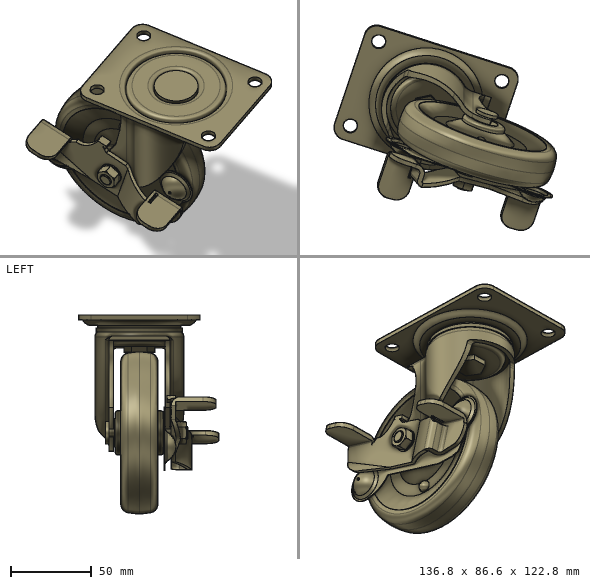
import cadquery as cq
import math


plate_length = 99.2
plate_width = 75.0
plate_thickness = 3.0
plate_corner_radius = 7.7
bolt_hole_diameter = 8.6
bolt_hole_spacing_x = 80.0
bolt_hole_spacing_y = 56.0
dish_top_radius = 35.3
dish_bottom_radius = 31.2
dish_bottom_z = -6.4
dish_bulge = 0.5
neck_radius = 25.7
ring_radius = 26.7
ring_top_z = -8.0
kingpin_radius = 13.5
kingpin_stem_radius = 6.8
kingpin_nut_radius = 9.6
kingpin_nut_bottom_z = -23.1
press_groove_radius = 31.0
press_round = 3.8

axle_x = -33.1
axle_z = -72.8
wheel_radius = 50.0
tread_edge_radius = 49.4
tread_edge_y = 7.0
tyre_shoulder_radius = 44.3
tyre_shoulder_round = 5.7
rim_radius = 41.6
rim_step = 0.4
wheel_half_width = 11.5
web_outer_radius = 30.1
web_inner_radius = 22.2
web_y = 6.2
hub_radius = 13.7
hub_base_y = 11.6
hub_end_y = 14.9
hub_round = 1.8
spacer_radius = 8.8
spacer_end_y = 15.2
stud_radius = 3.7
stud_circle_radius = 26.1

sheet = 3.0
fork_top_z = -10.4
fork_radius = 27.5
dome_radius = 26
dome_edge_z = -13.7
dome_round = 4.1
flange_top_z = -13.0
flange_round = 2.7
leg_outer_y = 18.9
fork_front_x = -36.2
bend_start_x = -24.3
bend_end_x = -17.8
skirt_bottom_z = -20.5
boss_radius = 11.6
boss_tangent_angle = -42
race_radius = 21.9
race_round = 3.4
race_bottom_z = -19.5

axle_radius = 4.0
bolt_head_radius = 7.0
bolt_head_height = 2.0
bolt_tip_y = -30.0
bolt_tip_chamfer = 0.5
nut_corner_radius = 7.0
nut_end_y = -29.1
nut_collar_radius = 7.1
nut_collar_height = 0.8
nut_chamfer = 0.7

shoe_sheet = 0.5
shoe_inner_y = -spacer_end_y
shoe_pad_radius = 12.2
shoe_seat_radius = 11
shoe_seat_top_radius = 8.9
shoe_seat_height = 1.5
shoe_dome_radius = 9.6
shoe_dome_height = 6.8
shoe_dome_hole_radius = 0.8
left_pad = (-75.03, -81.3)
right_pad = (8.8, -69.1)

pedal_tilt = 15
pedal_sheet = 2.7
pedal_reach = 68.4
pedal_out = 22.5
pedal_bend_u = 8.9
bulge_u = 18.9
bulge_out = 28.5
pedal_crest_u = 30.1
pedal_crest_out = 32.4
pedal_crest_round = 3.8
pedal_wall_u = 33.9
pedal_wall_top_out = 29.3
pedal_tail_u = 36.2
lip_start = (-51.2, -5.3)
lip_end = (-11.2, -15.9)
lip_flare = 26
lip_depth = 11
tab_thickness = 3.0
tab_tip_radius = 8.2
left_tab_u = (-53.3, -32.1)
left_tab_top_w = 8.8
left_tab_tip_out = 47.5
right_tab_u = (29.7, 50.0)
right_tab_top_w = 9.5
right_tab_tip_out = 49.1
slit_u = 32.5
slit_width = 1.6
slit_start_out = 24.1
slit_end_out = 33.4
catch_length = 6.8
catch_thickness = 2.5
catch_center = (-12.3, 18.3)
catch_inner_out = 17.1
tab_inner_bend = 0.5
tab_outer_bend = 5.5


def drum(radius, bottom, top):
    """Round disc on the swivel axis between two heights."""
    return cq.Workplane("XY").workplane(offset=bottom).circle(radius).extrude(top - bottom)


def axle_drum(radius, y_from, y_to):
    """Round disc on the wheel axle between two Y values."""
    return (
        cq.Workplane("XZ", origin=(axle_x, y_from, axle_z)).circle(radius).extrude(y_from - y_to)
    )


def side_prism(outline):
    """Cut tool: an XZ outline carried through the full width of the caster."""
    return outline.extrude(plate_width, both=True)


def build_plate():
    plate = (
        cq.Workplane("XY")
        .box(plate_length, plate_width, plate_thickness, centered=(True, True, False))
        .translate((0, 0, -plate_thickness))
        .edges("|Z")
        .fillet(plate_corner_radius)
        .faces(">Z")
        .workplane()
        .rect(bolt_hole_spacing_x, bolt_hole_spacing_y, forConstruction=True)
        .vertices()
        .hole(bolt_hole_diameter)
    )
    dish_mid_radius = (dish_top_radius + dish_bottom_radius) / 2
    dish_mid_z = -(plate_thickness - dish_bottom_z) / 2 - dish_bulge
    dish = (
        cq.Workplane("XZ")
        .moveTo(0, -plate_thickness)
        .lineTo(dish_top_radius, -plate_thickness)
        .threePointArc((dish_mid_radius, dish_mid_z), (dish_bottom_radius, dish_bottom_z))
        .lineTo(0, dish_bottom_z)
        .close()
        .revolve(360, (0, 0), (0, 1))
    )
    depth = press_round
    groove = (
        cq.Workplane("XZ")
        .moveTo(press_groove_radius - press_round, 0)
        .radiusArc((press_groove_radius, -depth), depth)
        .radiusArc((press_groove_radius + press_round, 0), depth)
        .close()
        .revolve(360, (0, 0), (0, 1))
    )
    kingpin_gap = (
        cq.Workplane("XZ")
        .moveTo(kingpin_radius, 0)
        .lineTo(kingpin_radius, -depth)
        .radiusArc((kingpin_radius + press_round, 0), depth)
        .close()
        .revolve(360, (0, 0), (0, 1))
    )
    nut = (
        cq.Workplane("XY")
        .workplane(offset=kingpin_nut_bottom_z)
        .transformed(rotate=(0, 0, 90))
        .polygon(6, 2 * kingpin_nut_radius)
        .extrude(race_bottom_z - kingpin_nut_bottom_z)
    )
    return (
        plate.union(dish)
        .union(drum(neck_radius, ring_top_z, dish_bottom_z))
        .union(drum(ring_radius, fork_top_z, ring_top_z))
        .union(drum(kingpin_stem_radius, race_bottom_z, fork_top_z))
        .union(nut)
        .cut(groove)
        .cut(kingpin_gap)
    )


def fork_plan(inset):
    """Plan outline of the fork wall, moved inward by inset and open toward -X."""
    radius = fork_radius - inset
    leg_y = leg_outer_y - inset
    bend_y = math.sqrt(fork_radius**2 - bend_end_x**2)
    bend = (bend_end_x * radius / fork_radius, bend_y * radius / fork_radius)
    front = fork_front_x - inset
    return (
        cq.Workplane("XY")
        .moveTo(front, leg_y)
        .lineTo(bend_start_x, leg_y)
        .tangentArcPoint(bend, relative=False)
        .threePointArc((radius, 0), (bend[0], -bend[1]))
        .tangentArcPoint((bend_start_x, -leg_y), relative=False)
        .lineTo(front, -leg_y)
        .close()
    )


def fork_side_outline():
    """Side outline of the fork: flange tip, curved leg edges and round axle boss."""
    boss_angle = math.radians(boss_tangent_angle)
    boss_right = (
        axle_x + boss_radius * math.cos(boss_angle),
        axle_z + boss_radius * math.sin(boss_angle),
    )
    return (
        cq.Workplane("XZ")
        .moveTo(fork_radius + 1.4, 0)
        .lineTo(fork_radius + 1.4, skirt_bottom_z)
        .lineTo(19.8, skirt_bottom_z)
        .threePointArc((18.6, -21.2), (17.9, -22.8))
        .spline([(14.2, -36.4), (9.0, -47.0), (4.0, -55.0), (-10.1, -70.9)], includeCurrent=True)
        .lineTo(*boss_right)
        .threePointArc((axle_x, axle_z - boss_radius), (axle_x - boss_radius, axle_z))
        .lineTo(-36.5, -57.5)
        .spline([(-32.4, -50.3), (-30.1, -41), (-28.5, -26.1), (-29.3, -21.5), (-32.0, -15.9)],
                includeCurrent=True)
        .lineTo(fork_front_x, -15.3)
        .lineTo(fork_front_x, 0)
        .close()
    )


def build_fork():
    bottom_z = axle_z - boss_radius
    outer = fork_plan(0).extrude(bottom_z - flange_top_z).translate((0, 0, flange_top_z))
    outer = outer.faces(">Z").edges("not(<X)").fillet(flange_round)
    inner_top_z = flange_top_z - sheet
    inner = fork_plan(sheet).extrude(bottom_z - inner_top_z).translate((0, 0, inner_top_z))
    body = outer.cut(inner).intersect(side_prism(fork_side_outline()))
    dome = (
        cq.Workplane("XZ")
        .moveTo(0, fork_top_z)
        .lineTo(dome_radius, fork_top_z)
        .radiusArc((fork_radius, dome_edge_z), dome_round)
        .lineTo(fork_radius, inner_top_z)
        .lineTo(0, inner_top_z)
        .close()
        .revolve(360, (0, 0), (0, 1))
    )
    race = drum(race_radius, race_bottom_z, inner_top_z).faces("<Z").edges().fillet(race_round)
    leg_span = 2 * leg_outer_y
    axle_hole = axle_drum(axle_radius, leg_span, -leg_span)
    return (
        body.union(dome)
        .union(race)
        .cut(drum(kingpin_stem_radius, race_bottom_z, fork_top_z))
        .cut(axle_hole)
    )


def build_wheel():
    crown = wheel_radius - tread_edge_radius
    crown_arc_radius = (tread_edge_y**2 + crown**2) / (2 * crown)
    half = (
        cq.Workplane("XY", origin=(axle_x, 0, axle_z))
        .moveTo(axle_radius, 0)
        .lineTo(axle_radius, spacer_end_y)
        .lineTo(spacer_radius, spacer_end_y)
        .lineTo(spacer_radius, hub_end_y)
        .lineTo(hub_radius - hub_round, hub_end_y)
        .radiusArc((hub_radius, hub_end_y - hub_round), hub_round)
        .lineTo(hub_radius, hub_base_y)
        .lineTo(web_inner_radius, web_y)
        .lineTo(web_outer_radius, web_y)
        .lineTo(rim_radius, wheel_half_width - rim_step)
        .lineTo(rim_radius, wheel_half_width)
        .lineTo(tyre_shoulder_radius, wheel_half_width)
        .radiusArc((tread_edge_radius, tread_edge_y), tyre_shoulder_round)
        .radiusArc((wheel_radius, 0), crown_arc_radius)
        .close()
        .revolve(360, (0, 0), (0, 1))
    )
    for stud_z in (axle_z - stud_circle_radius, axle_z + stud_circle_radius):
        stud = cq.Workplane("XY").sphere(stud_radius).translate((axle_x, web_y, stud_z))
        half = half.union(stud)
    return half.union(half.mirror("XZ"))


def build_axle_bolt():
    shank = axle_drum(axle_radius, leg_outer_y, bolt_tip_y).faces("<Y").chamfer(bolt_tip_chamfer)
    head = axle_drum(bolt_head_radius, leg_outer_y + bolt_head_height, leg_outer_y)
    return shank.union(head)


def build_axle_nut():
    collar = axle_drum(nut_collar_radius, -pedal_out, -pedal_out - nut_collar_height)
    height = -pedal_out - nut_end_y
    hexagon = (
        cq.Workplane("XZ", origin=(axle_x, -pedal_out, axle_z))
        .transformed(rotate=(0, 0, 90))
        .polygon(6, 2 * nut_corner_radius)
        .extrude(height)
    )
    bar = axle_drum(nut_corner_radius, -pedal_out, nut_end_y).faces("<Y").chamfer(nut_chamfer)
    bore = axle_drum(axle_radius, 0, 2 * nut_end_y)
    return hexagon.intersect(bar).union(collar).cut(bore)


def shoe_pad(center):
    """Round pad of the shoe with a hollow, drilled dome and a tapered seat around it."""
    outer_radius = (shoe_dome_radius**2 + shoe_dome_height**2) / (2 * shoe_dome_height)
    sphere_drop = outer_radius - shoe_dome_height
    plane = cq.Workplane("XZ", origin=(center[0], shoe_inner_y, center[1]))
    disc = plane.circle(shoe_pad_radius).extrude(shoe_sheet)
    front = plane.workplane(offset=shoe_sheet)
    seat = (
        front.circle(shoe_seat_radius)
        .workplane(offset=shoe_seat_height)
        .circle(shoe_seat_top_radius)
        .loft()
    )
    center_y = shoe_inner_y - shoe_sheet + sphere_drop
    ball = cq.Workplane("XY").sphere(outer_radius).translate((center[0], center_y, center[1]))
    hollow = (
        cq.Workplane("XY")
        .sphere(outer_radius - shoe_sheet)
        .translate((center[0], center_y, center[1]))
    )
    dome = ball.intersect(front.circle(shoe_pad_radius).extrude(2 * shoe_dome_height))
    apex_hole = plane.circle(shoe_dome_hole_radius).extrude(2 * shoe_dome_height)
    return disc.union(seat).union(dome).cut(hollow).cut(apex_hole)


def build_shoe():
    shoe = (
        cq.Workplane("XZ", origin=(0, shoe_inner_y, 0))
        .moveTo(left_pad[0] - 2.7, left_pad[1] - shoe_pad_radius + 0.4)
        .threePointArc((-63.7, -90.5), (-55.8, -84.0))
        .lineTo(-11.9, -96.2)
        .lineTo(-0.3, -96.2)
        .lineTo(5.0, -94.8)
        .lineTo(right_pad[0] + 6.8, right_pad[1] - 8.2)
        .lineTo(right_pad[0], right_pad[1] + 5.5)
        .lineTo(axle_x, axle_z + boss_radius)
        .lineTo(left_pad[0] + 1.4, left_pad[1] + 11)
        .close()
        .extrude(shoe_sheet)
    )
    for center in (left_pad, right_pad):
        opening = (
            cq.Workplane("XZ", origin=(center[0], shoe_inner_y, center[1]))
            .circle(shoe_seat_radius)
            .extrude(shoe_sheet)
        )
        shoe = shoe.cut(opening).union(shoe_pad(center))
    return shoe.cut(axle_drum(axle_radius, 0, 2 * shoe_inner_y))


def pedal_sheet_band():
    """Bent pedal sheet before trimming: flat, bulge around the fork, flat tail."""
    inner_out = pedal_out - pedal_sheet
    inner_wall_u = pedal_wall_u - pedal_sheet
    tail_bend = pedal_tail_u - pedal_wall_u
    inner_tail_bend = tail_bend + pedal_sheet
    return (
        cq.Workplane("XZ")
        .moveTo(-pedal_reach, pedal_out)
        .lineTo(pedal_bend_u, pedal_out)
        .threePointArc((bulge_u, bulge_out), (pedal_crest_u, pedal_crest_out))
        .radiusArc((pedal_wall_u, pedal_wall_top_out), pedal_crest_round)
        .lineTo(pedal_wall_u, pedal_out + tail_bend)
        .radiusArc((pedal_tail_u, pedal_out), -tail_bend)
        .lineTo(pedal_reach, pedal_out)
        .lineTo(pedal_reach, inner_out)
        .lineTo(pedal_tail_u, inner_out)
        .radiusArc((inner_wall_u, inner_out + inner_tail_bend), inner_tail_bend)
        .lineTo(inner_wall_u, pedal_wall_top_out)
        .lineTo(pedal_crest_u, pedal_crest_out - pedal_sheet)
        .threePointArc((bulge_u, bulge_out - pedal_sheet), (pedal_bend_u, inner_out))
        .lineTo(-pedal_reach, inner_out)
        .close()
        .extrude(pedal_reach, both=True)
    )


def pedal_outline():
    left_root_w = left_tab_top_w - tab_outer_bend
    right_root_w = right_tab_top_w - tab_outer_bend
    return (
        cq.Workplane("XY")
        .moveTo(left_tab_u[0], left_root_w)
        .lineTo(*lip_start)
        .lineTo(*lip_end)
        .lineTo(8.9, -16.0)
        .lineTo(30.4, -15.6)
        .lineTo(37.3, -13.0)
        .spline([(42.5, -11.1), (46.2, -9.6), (49.8, -4.8), (50.9, 2.3)], includeCurrent=True)
        .lineTo(50.6, right_root_w)
        .lineTo(32.1, right_root_w)
        .lineTo(29.7, 7.1)
        .spline([(21.7, 8.1), (pedal_bend_u, 12.3)], includeCurrent=True)
        .lineTo(6.8, 13.7)
        .lineTo(-7.5, 14.1)
        .lineTo(-13.8, 19.5)
        .lineTo(-15.7, 17.8)
        .spline([(-20.1, 10.8), (-24.1, 7.8), (-28.3, 7.2)], includeCurrent=True)
        .lineTo(left_tab_u[1], left_root_w)
        .close()
        .extrude(2 * pedal_out)
    )


def pedal_lip():
    """Lower lip flared outward along the sloping bend line."""
    run = math.hypot(lip_end[0] - lip_start[0], lip_end[1] - lip_start[1])
    rise = lip_depth * math.tan(math.radians(lip_flare))
    back = (lip_start[0] - lip_end[0], lip_start[1] - lip_end[1], 0)
    across_bend = cq.Plane((*lip_end, 0), (-back[1], back[0], 0), back)
    slab = (
        cq.Workplane(across_bend)
        .moveTo(0, pedal_out)
        .lineTo(lip_depth, pedal_out + rise)
        .lineTo(lip_depth, pedal_out + rise - pedal_sheet)
        .lineTo(0, pedal_out - pedal_sheet)
        .close()
        .extrude(run)
    )
    outline = (
        cq.Workplane("XY")
        .moveTo(lip_start[0] + 1.4, lip_start[1] + 2.7)
        .lineTo(*lip_start)
        .threePointArc((-45.1, -12.2), (-34.9, -15))
        .lineTo(*lip_end)
        .lineTo(lip_end[0] + 1.4, lip_end[1] + 2.7)
        .close()
        .extrude(2 * pedal_out)
    )
    return slab.intersect(outline)


def pedal_tab(u_range, top_w, tip_out):
    """Foot tab bent outward from the top edge of the pedal, with a rounded tip."""
    inner_out = pedal_out - pedal_sheet
    bottom_w = top_w - tab_thickness
    profile = (
        cq.Workplane("YZ", origin=(u_range[0], 0, 0))
        .moveTo(top_w - tab_outer_bend, inner_out)
        .radiusArc((top_w, inner_out + tab_outer_bend), -tab_outer_bend)
        .lineTo(top_w, tip_out)
        .lineTo(bottom_w, tip_out)
        .lineTo(bottom_w, pedal_out + tab_inner_bend)
        .radiusArc((bottom_w - tab_inner_bend, pedal_out), tab_inner_bend)
        .lineTo(top_w - tab_outer_bend, pedal_out)
        .close()
    )
    tab = profile.extrude(u_range[1] - u_range[0])
    return tab.faces(">Z").edges("|Y").fillet(tab_tip_radius)


def build_pedal():
    catch = (
        cq.Workplane("XY", origin=(*catch_center, catch_inner_out))
        .rect(catch_length, catch_thickness)
        .extrude(pedal_out - catch_inner_out)
    )
    left_tab = pedal_tab(left_tab_u, left_tab_top_w, left_tab_tip_out)
    slit = (
        cq.Workplane("XY", origin=(slit_u, 0, slit_start_out))
        .rect(slit_width, 2 * right_tab_top_w)
        .extrude(slit_end_out - slit_start_out)
    )
    right_tab = pedal_tab(right_tab_u, right_tab_top_w, right_tab_tip_out).cut(slit)
    pedal = (
        pedal_sheet_band()
        .intersect(pedal_outline())
        .union(pedal_lip())
        .union(left_tab)
        .union(right_tab)
        .union(catch)
        .cut(cq.Workplane("XY").circle(axle_radius).extrude(2 * pedal_out))
    )
    tilt = math.radians(pedal_tilt)
    frame = cq.Plane((axle_x, 0, axle_z), (math.cos(tilt), 0, -math.sin(tilt)), (0, -1, 0))
    return cq.Workplane(pedal.val().moved(cq.Location(frame)))


plate = build_plate()
fork = build_fork()
wheel = build_wheel()
axle_bolt = build_axle_bolt()
axle_nut = build_axle_nut()
shoe = build_shoe()
pedal = build_pedal()

bodies = [plate, fork, wheel, axle_bolt, axle_nut, shoe, pedal]
result = cq.Compound.makeCompound([body.val() for body in bodies])